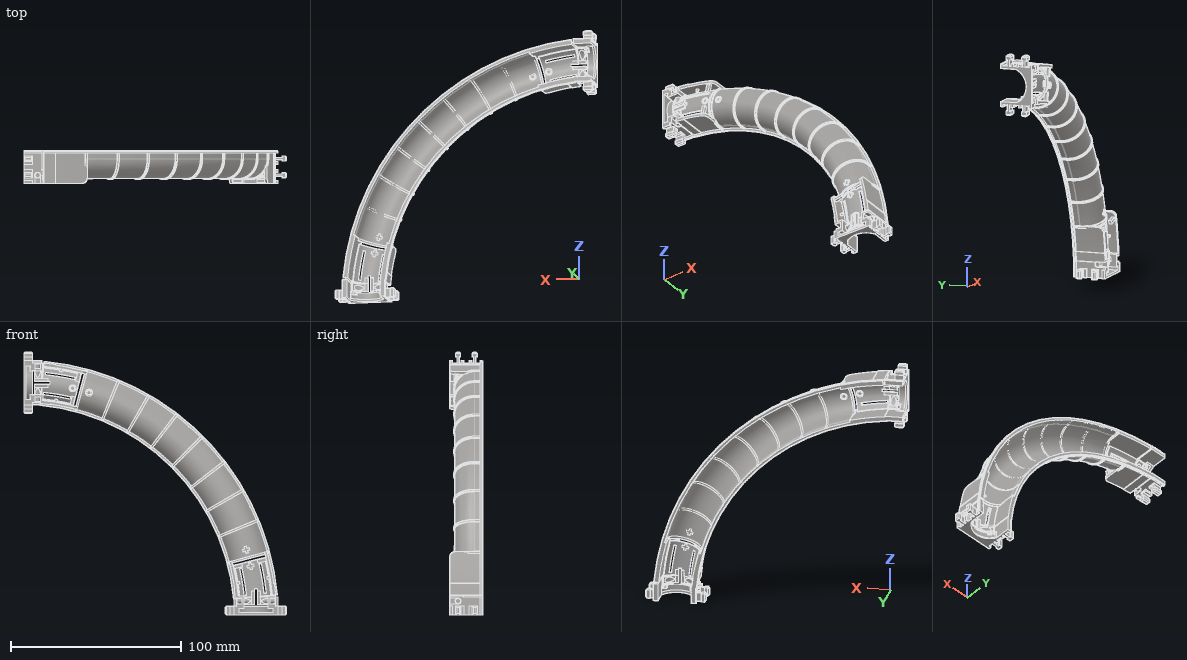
import cadquery as cq
import math

bend_radius = 139.0
channel_half = 11.6
channel_axis_depth = 5.0
shell_wall = 0.6
bore_half = channel_half - shell_wall
overall_depth = 19.5

rim_half = 13.0
rim_thickness = 1.5
lip_height = 0.6
lip_inset = 0.3

rib_height = 0.6
rib_angle = 0.5
rib_pitch = 7.5
first_rib = 15.0
last_rib = 90.0 - first_rib
rib_count = round((last_rib - first_rib) / rib_pitch) + 1
channel_start = first_rib - rib_angle / 2
channel_end = last_rib + rib_angle / 2

end_face = 2.3
end_centre = 138.7
end_length = 10.7
end_join = end_face + end_length
join_angle = math.degrees(math.asin(end_join / bend_radius))
flange_length = 5.3
flange_plate = 1.4

side_inner = 9.9
thick_side_half = 11.9
thick_side_end = 8.0
side_corner_radius = 3.1

tooth_width = 1.7
tooth_depths = [7.3, 12.0, overall_depth - tooth_width / 2]
prong_depths = [4.8, 14.5]
prong_reach = 156.8 - end_centre
prong_stem_width = 1.5
prong_head_width = 3.1
prong_head_length = 2.8
prong_head_chamfer = 0.8

hinge_offset = 8.2
hinge_z = end_face + hinge_offset
hinge_depth = 14.5
pin_radius = 1.5
pin_slot_radius = 1.7
pin_half_span = 11.1
bracket_start = 3.7
bracket_end = 11.3
bracket_inner = 7.0
bracket_pocket_inner = 8.3
hook_inner = 4.6
hook_depth = 17.0
hook_height = 1.9
hook_start = 13.2
hook_end = 14.0
stop_angle = 9.4
stop_radius = 0.8
stop_inner = 8.2
stop_depth = 14.7

flap_half = 9.5
flap_start = end_face + 6.2
flap_end = 14.1
flap_clearance = 0.3
long_slot_offset = 5.9
long_slot_width = 1.2
long_slot_start = 6.0
long_slot_end = 12.9
mid_slot_width = 1.5
mid_slot_end = end_face + 15.3
strip_width = 1.9
strip_height = 0.6
strip_end = end_face + 14.2

mark_height = 0.3
flap_mark_angle = 12.9
channel_mark_angle = 17.0
ring_outer = 2.0
ring_inner = 1.2
cross_length = 4.0
cross_width = 1.4


def u_profile(centre, half):
    """Closed U outline, open end at Y = 0."""
    return (
        cq.Workplane("XY")
        .moveTo(centre - half, 0)
        .lineTo(centre - half, -channel_axis_depth)
        .threePointArc((centre, -channel_axis_depth - half), (centre + half, -channel_axis_depth))
        .lineTo(centre + half, 0)
        .close()
    )


def box_profile(x_min, x_max, top, bottom):
    """Rectangle between two X values and two depths below Y = 0."""
    return cq.Workplane("XY").moveTo(x_min, -top).lineTo(x_max, -top).lineTo(x_max, -bottom).lineTo(
        x_min, -bottom).close()


def along_bend(profile, start, end):
    """Sweep a profile around the bend between two angles measured from +X toward +Z."""
    return profile.revolve(end - start, (0, 0, 0), (0, -1, 0)).rotate((0, 0, 0), (0, -1, 0), start)


def along_end(profile, start, end):
    """Extrude a profile along Z between two heights."""
    return profile.extrude(end - start).translate((0, 0, start))


def block(x_min, x_max, top, bottom, z_min, z_max):
    return along_end(box_profile(x_min, x_max, top, bottom), z_min, z_max)


def x_span(centre, side, inner, outer):
    """X limits of a feature lying between two distances from a centreline, on one side of it."""
    return sorted((centre + side * inner, centre + side * outer))


def swap_ends(shape):
    """Mirror in the plane X = Z, which carries one end of the bend onto the other."""
    return cq.Workplane(shape.val().mirror(cq.Vector(1, 0, -1)))


def rim(centre, side, sweep, start, end, inner):
    plate_span = x_span(centre, side, inner, rim_half)
    lip_span = x_span(centre, side, inner, rim_half - lip_inset)
    plate = sweep(box_profile(*plate_span, lip_height, rim_thickness), start, end)
    return plate.union(sweep(box_profile(*lip_span, 0, lip_height), start, end))


def ribbed_channel():
    channel = along_bend(u_profile(bend_radius, channel_half), channel_start, channel_end)
    for index in range(rib_count):
        middle = first_rib + index * rib_pitch
        rib = along_bend(
            u_profile(bend_radius, channel_half + rib_height), middle - rib_angle / 2, middle + rib_angle / 2
        )
        channel = channel.union(rib.intersect(below_rim))
    for side in (-1, 1):
        channel = channel.union(rim(bend_radius, side, along_bend, channel_start, channel_end, bore_half - 0.2))
    bore = along_bend(u_profile(bend_radius, bore_half), channel_start, channel_end)
    return channel.cut(bore)


below_rim = cq.Workplane("XY").box(463.5, overall_depth, 463.5).translate(
    (0, -rim_thickness - overall_depth / 2, 0))


def flange():
    plate = block(
        end_centre - channel_half, end_centre + channel_half, 0, overall_depth, end_face, end_face + flange_plate
    )
    collar = along_end(u_profile(end_centre, channel_half), end_face, end_face + flange_length)
    bore = along_end(u_profile(end_centre, bore_half), end_face, end_face + flange_length)
    return plate.union(collar).cut(bore)


def prong(side, depth):
    """Stem with a wider, chamfered snap head."""
    tip_start = prong_reach - prong_head_length
    stem = block(
        *x_span(end_centre, side, side_inner + 1.4, tip_start),
        depth - prong_stem_width / 2, depth + prong_stem_width / 2, end_face, end_face + flange_length
    )
    head = block(
        *x_span(end_centre, side, tip_start, prong_reach),
        depth - prong_head_width / 2, depth + prong_head_width / 2, end_face, end_face + flange_length
    )
    head = head.faces(">X" if side > 0 else "<X").chamfer(prong_head_chamfer)
    return stem.union(head)


def side_wall(side):
    """One side of the end, from the flange to the channel, with its rim, prongs and teeth."""
    wall = along_bend(
        box_profile(*x_span(bend_radius, side, side_inner, channel_half), 0, overall_depth),
        join_angle, channel_end - (last_rib - first_rib)
    )
    wall = wall.edges("<Y").edges(">Z").fillet(side_corner_radius)
    wall = wall.union(block(
        *x_span(end_centre, side, side_inner, channel_half), 0, overall_depth, end_face, end_join
    ))
    wall = wall.union(along_bend(
        box_profile(*x_span(bend_radius, side, side_inner, thick_side_half), 0, overall_depth),
        join_angle, thick_side_end
    ))
    wall = wall.union(rim(end_centre, side, along_end, end_face, end_join, side_inner))
    wall = wall.union(rim(bend_radius, side, along_bend, join_angle, channel_start, side_inner))
    for depth in tooth_depths:
        wall = wall.union(block(
            *x_span(end_centre, side, side_inner, rim_half),
            depth - tooth_width / 2, depth + tooth_width / 2, end_face, end_face + flange_length
        ))
    for depth in prong_depths:
        wall = wall.union(prong(side, depth))
    return wall


def flap_room():
    """Space around the flap's round bottom, kept clear of the brackets."""
    room = u_profile(end_centre, channel_half + flap_clearance)
    return along_end(room, end_face + flange_length, end_face + bracket_end)


def hinge_bracket(side):
    return block(
        *x_span(end_centre, side, bracket_inner, channel_half), hinge_depth - 2 * pin_radius, overall_depth,
        end_face + bracket_start, end_face + bracket_end
    ).cut(flap_room().intersect(block(
        *x_span(end_centre, side, 0, side_inner), 0, overall_depth, end_face, end_join + 1.5
    )))


def hinge_opening(side):
    """Bore for the pin, and a snap-in pocket open toward -Y and through the side wall."""
    bore = (
        cq.Workplane("YZ").center(-hinge_depth, hinge_z).circle(pin_slot_radius)
        .extrude(side * rim_half).translate((end_centre, 0, 0))
    )
    pocket = block(
        *x_span(end_centre, side, bracket_pocket_inner, rim_half), hinge_depth, overall_depth,
        hinge_z - pin_slot_radius, hinge_z + pin_slot_radius
    )
    return bore.union(pocket)


def hook(side):
    return along_bend(
        box_profile(*x_span(bend_radius, side, hook_inner, side_inner + 0.8), hook_depth, hook_depth + hook_height),
        hook_start, hook_end
    )


def stop(side):
    """Small peg on the inside of a side wall."""
    peg = (
        cq.Workplane("YZ").center(-stop_depth, 0).circle(stop_radius)
        .extrude(side * (channel_half - 0.8 - stop_inner)).translate((bend_radius + side * stop_inner, 0, 0))
    )
    return peg.rotate((0, 0, 0), (0, -1, 0), stop_angle)


def housing_end():
    end = flange()
    for side in (-1, 1):
        end = end.union(side_wall(side)).union(hinge_bracket(side)).cut(hinge_opening(side))
        end = end.union(hook(side)).union(stop(side))
    return end


def raised_mark(outline, angle):
    """Mark standing slightly proud of the round bottom of the channel."""
    column = (
        outline.extrude(overall_depth - channel_axis_depth).translate((bend_radius, -channel_axis_depth, 0))
        .rotate((0, 0, 0), (0, -1, 0), angle)
    )
    skin = along_bend(u_profile(bend_radius, channel_half + mark_height), angle - 2, angle + 2).cut(
        along_bend(u_profile(bend_radius, channel_half - shell_wall / 2), angle - 2, angle + 2)
    )
    return column.intersect(skin)


def ring_mark(angle):
    return raised_mark(cq.Workplane("XZ").circle(ring_outer).circle(ring_inner), angle)


def cross_mark(angle):
    bar = cq.Workplane("XZ").rect(cross_length, cross_width)
    post = cq.Workplane("XZ").rect(cross_width, cross_length)
    return raised_mark(bar, angle).union(raised_mark(post, angle))


def flap_profile(centre, outer):
    """Band along the round bottom, reaching the flap's half width, with radial edges."""
    reach = flap_half / channel_half
    drop = math.sqrt(1 - reach ** 2)
    inner = bore_half
    axis_y = -channel_axis_depth
    return (
        cq.Workplane("XY")
        .moveTo(centre - outer * reach, axis_y - outer * drop)
        .threePointArc((centre, axis_y - outer), (centre + outer * reach, axis_y - outer * drop))
        .lineTo(centre + inner * reach, axis_y - inner * drop)
        .threePointArc((centre, axis_y - inner), (centre - inner * reach, axis_y - inner * drop))
        .close()
    )


def hinge_pins():
    """Pin stubs of the flap, trimmed flush with its bore."""
    pins = (
        cq.Workplane("YZ").center(-hinge_depth, hinge_z).circle(pin_radius)
        .extrude(pin_half_span, both=True).translate((end_centre, 0, 0))
    )
    return pins.cut(along_end(u_profile(end_centre, bore_half), end_face, end_join + pin_radius))


def flap_strips():
    """Two raised strips beside the middle slot."""
    band = along_end(flap_profile(end_centre, channel_half + strip_height), flap_start, strip_end)
    half = mid_slot_width / 2 + strip_width
    return band.intersect(block(end_centre - half, end_centre + half, 0, overall_depth, flap_start, strip_end))


def flap_slots():
    slots = block(
        end_centre - mid_slot_width / 2, end_centre + mid_slot_width / 2, 0, overall_depth, end_face, mid_slot_end
    )
    for side in (-1, 1):
        slot_centre = bend_radius + side * long_slot_offset
        slots = slots.union(along_bend(
            box_profile(slot_centre - long_slot_width / 2, slot_centre + long_slot_width / 2, 0, overall_depth),
            long_slot_start, long_slot_end
        ))
    return slots


def flap(mark):
    body = along_end(flap_profile(end_centre, channel_half), flap_start, end_join)
    body = body.union(along_bend(flap_profile(bend_radius, channel_half), join_angle, flap_end))
    body = body.union(hinge_pins()).union(flap_strips()).cut(flap_slots())
    return body.union(mark(flap_mark_angle))


lower_end = housing_end()
housing = (
    ribbed_channel()
    .union(lower_end)
    .union(swap_ends(lower_end))
    .union(cross_mark(channel_mark_angle))
    .union(swap_ends(ring_mark(channel_mark_angle)))
)

lower_flap = flap(cross_mark)
upper_flap = swap_ends(flap(ring_mark))

result = cq.Compound.makeCompound([housing.val(), lower_flap.val(), upper_flap.val()])